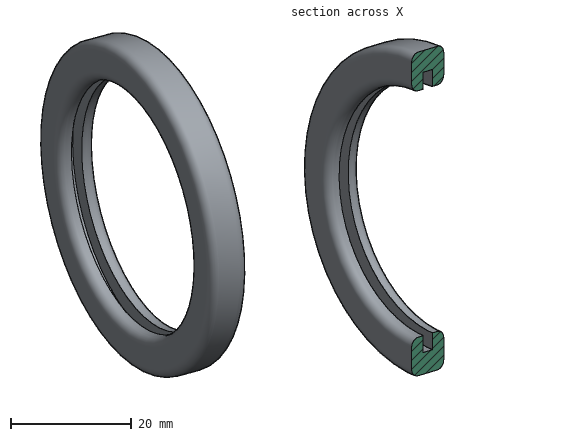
import cadquery as cq

outer_diameter = 58.0
inner_diameter = 44.0
thickness = 7.0
rim_radius = 1.5
groove_width = 2.0
groove_depth = 3.0

outer_radius = outer_diameter / 2
inner_radius = inner_diameter / 2


def ring_band(band_inner_radius, band_outer_radius, width):
    """Rectangular section, centred on Y = 0, turned around the Y axis from the +Z side."""
    middle_radius = (band_inner_radius + band_outer_radius) / 2
    section = (
        cq.Workplane("YZ")
        .center(0, middle_radius)
        .rect(width, band_outer_radius - band_inner_radius)
    )
    return section.revolve(360, (0, -middle_radius), (1, -middle_radius))


body = ring_band(inner_radius, outer_radius, thickness)
body = body.faces("<Y or >Y").edges().fillet(rim_radius)

cutter_overlap = 0.6
groove = ring_band(inner_radius - cutter_overlap, inner_radius + groove_depth, groove_width)

result = body.cut(groove)